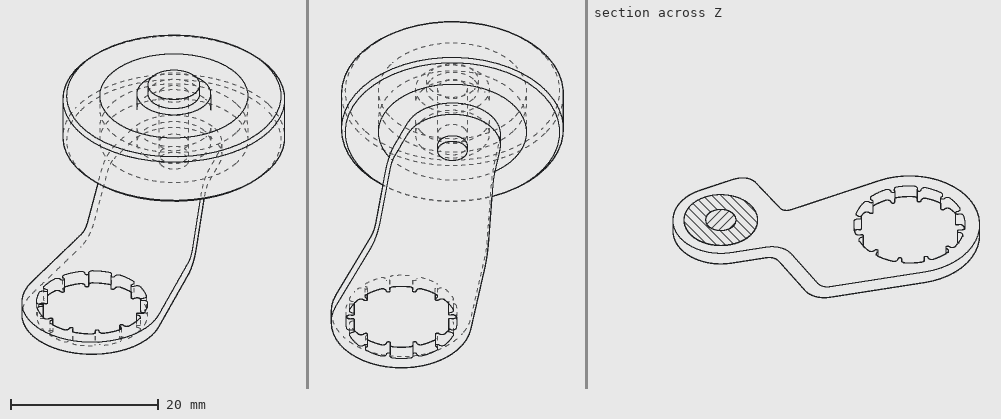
import cadquery as cq
import math


AXIS_SPACING = 27.0
RING_DIAMETER = 19.0
PIN_END_RADIUS = 6.5
ARM_THICKNESS = 2.0
ARM_TOP = 11.25
BEND_ANGLE = 60.0
BEND_INNER_RADIUS = 2.0
BEND_OUTER_RADIUS = BEND_INNER_RADIUS + ARM_THICKNESS
SLOPE_START_Y = -6.4

HOLE_RADIUS = 7.5
TOOTH_TIP_RADIUS = 6.6
TOOTH_COUNT = 12
TOOTH_WIDTH = 0.5
TOOTH_ROOT_FILLET = 0.5

WHEEL_DIAMETER = 30.0
RIM_WIDTH = 7.3
RIM_CHAMFER = 0.5
RECESS_DIAMETER = 20.0
WEB_THICKNESS = 2.0
WEB_FILLET = 0.5
HUB_DIAMETER = 10.0
HUB_LENGTH = 8.0
HUB_TOP = ARM_TOP + HUB_LENGTH
WHEEL_MIDDLE_Z = ARM_TOP + HUB_LENGTH / 2

PIN_DIAMETER = 4.0
PIN_HEAD_DIAMETER = 7.0
PIN_TOP = 20.75
PIN_BOTTOM = 8.3


def cylinder(diameter, bottom, top):
    return cq.Workplane("XY", origin=(0, 0, bottom)).circle(diameter / 2).extrude(top - bottom)


def arm_side_profile():
    """Bent strip seen along X, extruded wider than the arm."""
    bend = math.radians(BEND_ANGLE)
    raised_bottom = ARM_TOP - ARM_THICKNESS
    run = raised_bottom / math.tan(bend)
    mitre_shift = ARM_THICKNESS * math.tan(bend / 2)
    ring_end_y = -(AXIS_SPACING + RING_DIAMETER / 2)

    upper_outer = (SLOPE_START_Y, ARM_TOP)
    lower_inner = (SLOPE_START_Y - run, ARM_THICKNESS)
    upper_inner = (SLOPE_START_Y + mitre_shift, raised_bottom)
    lower_outer = (SLOPE_START_Y - run + mitre_shift, 0)
    strip = (
        cq.Workplane("YZ")
        .polyline([
            (PIN_END_RADIUS, ARM_TOP),
            upper_outer,
            lower_inner,
            (ring_end_y, ARM_THICKNESS),
            (ring_end_y, 0),
            lower_outer,
            upper_inner,
            (PIN_END_RADIUS, raised_bottom),
        ])
        .close()
        .extrude(RING_DIAMETER, both=True)
    )
    return strip, [upper_inner, lower_inner], [upper_outer, lower_outer]


def round_bends(strip, corners, radius):
    for y, z in corners:
        strip = strip.edges(cq.selectors.NearestToPointSelector((0, y, z))).fillet(radius)
    return strip


def arm_outline():
    """Plan shape: two round ends joined by their common tangent lines."""
    ring_radius = RING_DIAMETER / 2
    sine = (ring_radius - PIN_END_RADIUS) / AXIS_SPACING
    cosine = math.sqrt(1 - sine ** 2)
    pin_tangent = (PIN_END_RADIUS * cosine, PIN_END_RADIUS * sine)
    ring_tangent = (ring_radius * cosine, ring_radius * sine - AXIS_SPACING)
    return (
        cq.Workplane("XY")
        .moveTo(-pin_tangent[0], pin_tangent[1])
        .threePointArc((0, PIN_END_RADIUS), pin_tangent)
        .lineTo(*ring_tangent)
        .threePointArc((0, -AXIS_SPACING - ring_radius), (-ring_tangent[0], ring_tangent[1]))
        .close()
        .extrude(ARM_TOP)
    )


def toothed_hole():
    """Cutter for the ring hole, notched where the round-tipped teeth stand."""
    tip_round = TOOTH_WIDTH / 2
    root_x = HOLE_RADIUS + TOOTH_WIDTH
    shoulder_x = TOOTH_TIP_RADIUS + tip_round
    tooth = (
        cq.Workplane("XY")
        .moveTo(root_x, tip_round)
        .lineTo(shoulder_x, tip_round)
        .threePointArc((TOOTH_TIP_RADIUS, 0), (shoulder_x, -tip_round))
        .lineTo(root_x, -tip_round)
        .close()
        .extrude(ARM_THICKNESS)
    )
    cutter = cq.Workplane("XY").circle(HOLE_RADIUS).extrude(ARM_THICKNESS)
    for i in range(TOOTH_COUNT):
        cutter = cutter.cut(tooth.rotate((0, 0, 0), (0, 0, 1), i * 360 / TOOTH_COUNT))

    def is_tooth_root(edge):
        return math.hypot(edge.Center().x, edge.Center().y) > shoulder_x + tip_round / 2

    cutter = cutter.edges("|Z").filter(is_tooth_root).fillet(TOOTH_ROOT_FILLET)
    return cutter.translate((0, -AXIS_SPACING, 0))


def make_arm():
    strip, inner_corners, outer_corners = arm_side_profile()
    strip = round_bends(strip, inner_corners, BEND_INNER_RADIUS)
    strip = round_bends(strip, outer_corners, BEND_OUTER_RADIUS)
    pin_hole = cylinder(PIN_DIAMETER, 0, ARM_TOP)
    return strip.intersect(arm_outline()).cut(toothed_hole()).cut(pin_hole)


def web_recess(floor_z, direction):
    """Ring-shaped recess between hub and rim, rounded along its floor; direction is +1 up or -1 down."""
    floor_face = "<Z" if direction > 0 else ">Z"
    return (
        cq.Workplane("XY", origin=(0, 0, floor_z))
        .circle(RECESS_DIAMETER / 2)
        .circle(HUB_DIAMETER / 2)
        .extrude(direction * HUB_LENGTH / 2)
        .faces(floor_face)
        .edges()
        .fillet(WEB_FILLET)
    )


def make_wheel():
    rim_bottom = WHEEL_MIDDLE_Z - RIM_WIDTH / 2
    disc = cylinder(WHEEL_DIAMETER, rim_bottom, rim_bottom + RIM_WIDTH)
    disc = disc.faces("<Z or >Z").edges().chamfer(RIM_CHAMFER)
    wheel = disc.union(cylinder(HUB_DIAMETER, ARM_TOP, HUB_TOP))
    for direction in (1, -1):
        wheel = wheel.cut(web_recess(WHEEL_MIDDLE_Z + direction * WEB_THICKNESS / 2, direction))
    return wheel.cut(cylinder(PIN_DIAMETER, ARM_TOP, HUB_TOP))


def make_pin():
    shank = cylinder(PIN_DIAMETER, PIN_BOTTOM, HUB_TOP)
    head = cylinder(PIN_HEAD_DIAMETER, HUB_TOP, PIN_TOP)
    return shank.union(head)


arm = make_arm()
wheel = make_wheel()
pin = make_pin()

result = cq.Compound.makeCompound([body.solids().val() for body in (arm, wheel, pin)])